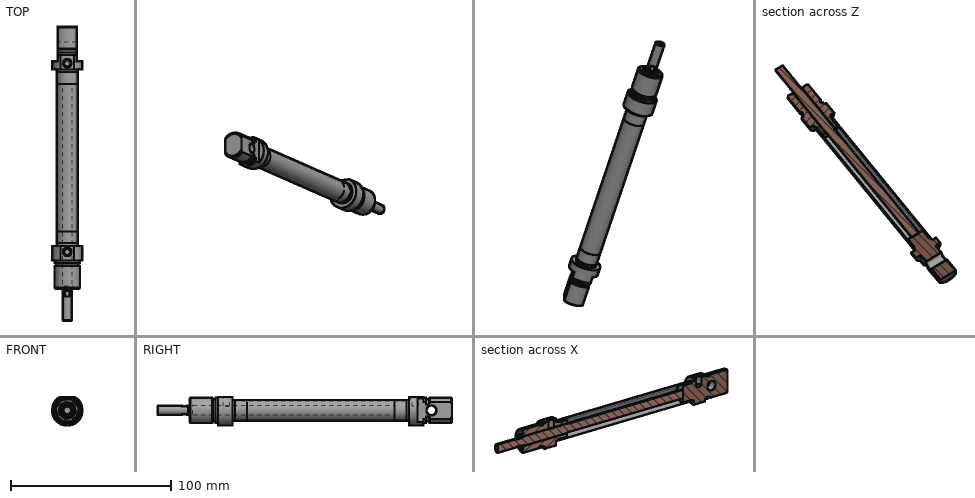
import cadquery as cq
import math

TOTAL_LENGTH = 184
FRONT_FACE_Y = 20.0

THREAD_DIA = 16.0
THREAD_ROOT_DIA = 14.2
THREAD_START = 0.7
FRONT_THREAD_END = 14.2
REAR_THREAD_END = 13.8
GROOVE_START = 14.5
GROOVE_END = 16.2
COLLAR_END = 17.8
FLANGE_DIA = 19.0
FLANGE_END = 26.9
TUBE_DIA = 13.2
SHOULDER_END = 28.5
TUBE_BORE = 12.0
SPIGOT_END = 35.9

PORT_FLAT_Z = 8.5
PORT_OFFSET = 23.0
PORT_DIA = 4.0
PORT_MOUTH_DIA = 5.2
PORT_DEPTH = 5.5
DRILL_POINT_ANGLE = 118

TANG_WIDTH = 12.0
TANG_LENGTH = 21.7
PIVOT_DIA = 6.0
PIVOT_OFFSET = 12.9

ROD_DIA = 6.0
ROD_END_DIA = 5.9
ROD_STEP_Y = 19.1
ROD_TIP_CHAMFER = 0.46
FLAT_START_Y = 15.3
FLAT_END_Y = 18.5
FLAT_WIDTH = 5.2

RECESS_DIA = 10.1
RECESS_FLOOR_DIA = 9.0
RECESS_DEPTH = 0.5
LIP_BASE_DIA = 8.0
LIP_TOP_DIA = 7.2
LIP_BORE = 6.5
LIP_BORE_DEPTH = 1.8

FRONT_TUBE_Y = FRONT_FACE_Y + SHOULDER_END
REAR_TUBE_Y = TOTAL_LENGTH - SHOULDER_END
REAR_SPIGOT_Y = TOTAL_LENGTH - SPIGOT_END


def cylinder_y(diameter, start, end):
    """Cylinder on the Y axis between two Y values."""
    return cq.Workplane("XZ", origin=(0, start, 0)).circle(diameter / 2).extrude(start - end)


def box_between(x_range, y_range, z_range):
    """Axis-aligned box between pairs of limits."""
    sizes = [high - low for low, high in (x_range, y_range, z_range)]
    corner = (x_range[0], y_range[0], z_range[0])
    return cq.Workplane("XY").box(*sizes, centered=False).translate(corner)


def revolve_y(points):
    """Revolve a closed (radius, Y) outline about the Y axis."""
    return cq.Workplane("XY").polyline(points).close().revolve(360, (0, 0, 0), (0, 1, 0))


def cap_blank(thread_end):
    """Turned end cap with its outer face at Y = 0 and the port flat on top."""
    thread_radius = THREAD_DIA / 2
    root_radius = THREAD_ROOT_DIA / 2
    blank = revolve_y([
        (0, 0),
        (root_radius, 0),
        (thread_radius, THREAD_START),
        (thread_radius, thread_end),
        (root_radius, GROOVE_START),
        (root_radius, GROOVE_END),
        (thread_radius, GROOVE_END),
        (thread_radius, COLLAR_END),
        (FLANGE_DIA / 2, COLLAR_END),
        (FLANGE_DIA / 2, FLANGE_END),
        (TUBE_DIA / 2, FLANGE_END),
        (TUBE_DIA / 2, SHOULDER_END),
        (TUBE_BORE / 2, SHOULDER_END),
        (TUBE_BORE / 2, SPIGOT_END),
        (0, SPIGOT_END),
    ])
    above_flat = box_between((-FLANGE_DIA, FLANGE_DIA), (0, SPIGOT_END), (PORT_FLAT_Z, FLANGE_DIA))
    return blank.cut(above_flat)


def port_cutter(depth, point_depth):
    """Countersunk port at Y = 0; a zero point depth gives it a flat bottom."""
    mouth_radius = PORT_MOUTH_DIA / 2
    radius = PORT_DIA / 2
    bottom_z = PORT_FLAT_Z - depth
    outline = [
        (0, PORT_FLAT_Z),
        (mouth_radius, PORT_FLAT_Z),
        (radius, PORT_FLAT_Z - (mouth_radius - radius)),
        (radius, bottom_z),
        (0, bottom_z - point_depth),
    ]
    return cq.Workplane("XZ").polyline(outline).close().revolve(360, (0, 0, 0), (0, 1, 0))


def make_front_cap():
    cap = cap_blank(FRONT_THREAD_END)

    recess = revolve_y([
        (RECESS_DIA / 2, 0),
        (RECESS_FLOOR_DIA / 2, RECESS_DEPTH),
        (LIP_BASE_DIA / 2, RECESS_DEPTH),
        (LIP_TOP_DIA / 2, 0),
    ])
    lip_bore = cylinder_y(LIP_BORE, 0, LIP_BORE_DEPTH)
    rod_bore = cylinder_y(ROD_DIA, 0, SPIGOT_END)
    cap = cap.cut(recess).cut(lip_bore).cut(rod_bore)

    port = port_cutter(PORT_FLAT_Z, 0).translate((0, PORT_OFFSET, 0))
    return cap.cut(port).translate((0, FRONT_FACE_Y, 0))


def make_rear_cap():
    cap = cap_blank(REAR_THREAD_END)

    for side in (-1, 1):
        x_range = sorted((side * TANG_WIDTH / 2, side * FLANGE_DIA))
        cap = cap.cut(box_between(x_range, (0, TANG_LENGTH), (-FLANGE_DIA, FLANGE_DIA)))

    pivot = cq.Workplane("YZ", origin=(0, PIVOT_OFFSET, 0)).circle(PIVOT_DIA / 2)
    cap = cap.cut(pivot.extrude(FLANGE_DIA, both=True))

    point_depth = PORT_DIA / 2 / math.tan(math.radians(DRILL_POINT_ANGLE / 2))
    port = port_cutter(PORT_DEPTH, point_depth).translate((0, PORT_OFFSET, 0))
    return cap.cut(port).mirror("XZ").translate((0, TOTAL_LENGTH, 0))


def make_tube():
    bore = cylinder_y(TUBE_BORE, FRONT_TUBE_Y, REAR_TUBE_Y)
    return cylinder_y(TUBE_DIA, FRONT_TUBE_Y, REAR_TUBE_Y).cut(bore)


def make_rod():
    front_end = cylinder_y(ROD_END_DIA, 0, ROD_STEP_Y).faces("<Y").chamfer(ROD_TIP_CHAMFER)
    rod = front_end.union(cylinder_y(ROD_DIA, ROD_STEP_Y, REAR_SPIGOT_Y))

    for side in (-1, 1):
        z_range = sorted((side * FLAT_WIDTH / 2, side * ROD_DIA))
        rod = rod.cut(box_between((-ROD_DIA, ROD_DIA), (FLAT_START_Y, FLAT_END_Y), z_range))
    return rod


front_cap = make_front_cap()
rear_cap = make_rear_cap()
tube = make_tube()
rod = make_rod()

bodies = [front_cap, rear_cap, tube, rod]
result = cq.Compound.makeCompound([body.solids().val() for body in bodies])